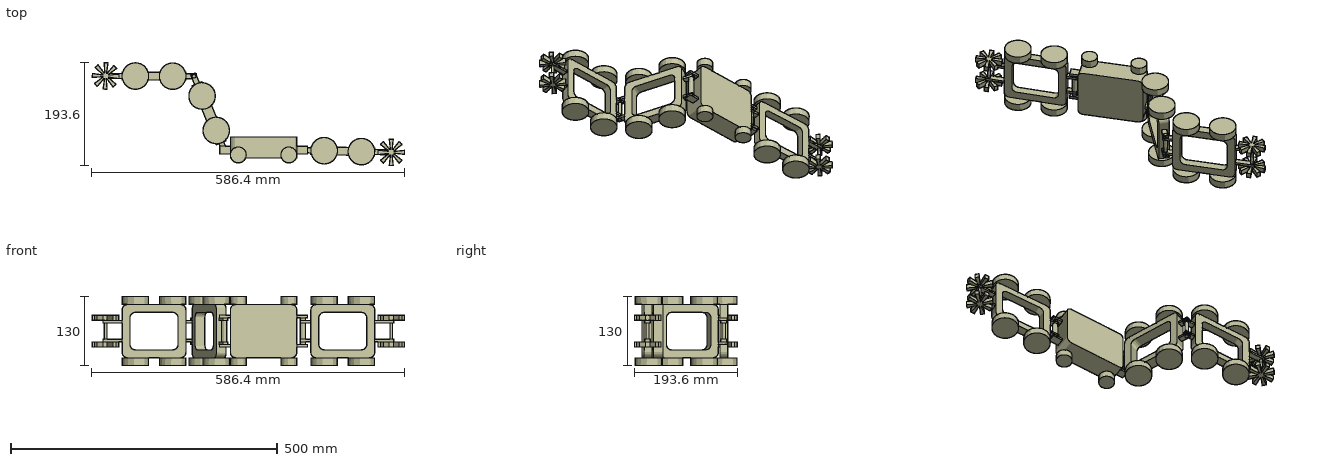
import cadquery as cq
import math

body_height = 100.0
wheel_height = 15.0
corner_radius = 10.0
arm_thickness = 5.0
end_arm_z = 15.0
middle_arm_z = end_arm_z + arm_thickness
box_arm_z = middle_arm_z + arm_thickness

frame_length = 120.0
frame_border = 15.0
window_corner_radius = 10.0
end_frame_depth = 15.0
middle_frame_depth = 20.0
wheel_diameter = 50.0

arm_width = 10.0
coupling_reach = 15.0
arm_end_margin = arm_width / 2
pin_diameter = 10.0
through_pin_diameter = 7.0

axle_reach = 31.0
axle_diameter = 5.5
pinwheel_radius = 25.0
pinwheel_thickness = 10.0
hub_diameter = 12.0
blade_count = 8
blade_root_width = 2.5
blade_tip_width = 8.0

box_length = 125.0
box_depth = 40.0
box_offset = 5.0
box_arm_length = 20.0
box_arm_width = 15.0
box_coupling_reach = 11.2
box_wheel_diameter = 30.0
box_wheel_setback = 6.0

first_heading = -0.2
middle_heading = -67.7
last_heading = -1.4
first_pinwheel_phase = -2.0
last_pinwheel_phase = 1.4


def upright_cylinder(x, y, diameter, z_bottom, z_top):
    return cq.Workplane("XY", (x, y, z_bottom)).circle(diameter / 2).extrude(z_top - z_bottom)


def upper_and_lower(upper):
    return upper.union(upper.mirror("XY"))


def slab_body(length, depth):
    """Upright slab with rounded corners, centred on the origin."""
    return cq.Workplane("XY").box(length, depth, body_height).edges("|Y").fillet(corner_radius)


def wheels(spacing, y, diameter):
    upper = cq.Workplane("XY")
    for x in (-spacing / 2, spacing / 2):
        upper = upper.union(
            upright_cylinder(x, y, diameter, body_height / 2, body_height / 2 + wheel_height)
        )
    return upper_and_lower(upper)


def arms(x_root, x_tip, width, z_bottom):
    """Upper and lower flat arms along X between two stations."""
    upper = cq.Workplane("XY").box(abs(x_tip - x_root), width, arm_thickness, centered=(True, True, False))
    return upper_and_lower(upper.translate(((x_root + x_tip) / 2, 0, z_bottom)))


def open_frame(depth):
    """Wagon frame with its window and its four wheels."""
    window = cq.Workplane("XY").box(
        frame_length - 2 * frame_border, 2 * depth, body_height - 2 * frame_border
    )
    window = window.edges("|Y").fillet(window_corner_radius)
    frame = slab_body(frame_length, depth).cut(window)
    return frame.union(wheels(frame_length - wheel_diameter, 0, wheel_diameter))


def pinwheel(phase):
    """Upper pinwheel on the Z axis: a hub with blades that widen outwards."""
    wheel = cq.Workplane("XY").circle(hub_diameter / 2).extrude(pinwheel_thickness)
    blade = (
        cq.Workplane("XY")
        .polyline([
            (0, -blade_root_width / 2),
            (pinwheel_radius, -blade_tip_width / 2),
            (pinwheel_radius, blade_tip_width / 2),
            (0, blade_root_width / 2),
        ])
        .close()
        .extrude(pinwheel_thickness)
    )
    for i in range(blade_count):
        wheel = wheel.union(blade.rotate((0, 0, 0), (0, 0, 1), phase + i * 360 / blade_count))
    return wheel.translate((0, 0, end_arm_z + arm_thickness))


frame_end = frame_length / 2
coupling_x = frame_end + coupling_reach
axle_x = frame_end + axle_reach
coupling_arm_tip = coupling_x + arm_end_margin
axle_arm_tip = axle_x + arm_end_margin


def end_wagon(side, phase, coupling_pin_diameter):
    """Wagon with its pinwheels at `side` (-1 or +1 along X) and its coupling pin at the other end."""
    wagon = open_frame(end_frame_depth)
    wagon = wagon.union(arms(side * frame_end, side * axle_arm_tip, arm_width, end_arm_z))
    wagon = wagon.union(arms(-side * frame_end, -side * coupling_arm_tip, arm_width, end_arm_z))
    axle_top = end_arm_z + arm_thickness
    wagon = wagon.union(upright_cylinder(side * axle_x, 0, axle_diameter, -axle_top, axle_top))
    wagon = wagon.union(upper_and_lower(pinwheel(phase).translate((side * axle_x, 0, 0))))
    return wagon.union(
        upright_cylinder(-side * coupling_x, 0, coupling_pin_diameter, -box_arm_z, box_arm_z)
    )


def middle_wagon():
    """Wagon with bored arms at its -X end and a coupling pin between its +X arms."""
    wagon = open_frame(middle_frame_depth)
    for side in (-1, 1):
        wagon = wagon.union(arms(side * frame_end, side * coupling_arm_tip, arm_width, middle_arm_z))
    wagon = wagon.union(upright_cylinder(coupling_x, 0, pin_diameter, -middle_arm_z, middle_arm_z))
    return wagon.cut(upright_cylinder(-coupling_x, 0, through_pin_diameter, -box_arm_z, box_arm_z))


def box_car():
    """Closed box with four small wheels near its front face and wide arms at both ends."""
    box = slab_body(box_length, box_depth).translate((0, box_offset, 0))
    wheel_y = box_offset - box_depth / 2 + box_wheel_setback
    box = box.union(wheels(box_length - box_wheel_diameter, wheel_y, box_wheel_diameter))
    for side in (-1, 1):
        box_end = side * box_length / 2
        box = box.union(arms(box_end, box_end + side * box_arm_length, box_arm_width, box_arm_z))
    return box


def place(wagon, pin_x, pin_position, heading):
    """Turn a wagon to its heading with its pin axis at the given XY position."""
    turned = wagon.translate((-pin_x, 0, 0)).rotate((0, 0, 0), (0, 0, 1), heading)
    return turned.translate((*pin_position, 0))


box_coupling_x = box_length / 2 + box_coupling_reach
middle_length = 2 * coupling_x
middle_angle = math.radians(middle_heading)
first_coupling = (
    -box_coupling_x - middle_length * math.cos(middle_angle),
    -middle_length * math.sin(middle_angle),
)

first_wagon = place(
    end_wagon(-1, first_pinwheel_phase, through_pin_diameter), coupling_x, first_coupling, first_heading
)
second_wagon = place(middle_wagon(), coupling_x, (-box_coupling_x, 0), middle_heading)
car = box_car()
last_wagon = place(
    end_wagon(1, last_pinwheel_phase, pin_diameter), -coupling_x, (box_coupling_x, 0), last_heading
)

result = cq.Compound.makeCompound([first_wagon.val(), second_wagon.val(), car.val(), last_wagon.val()])